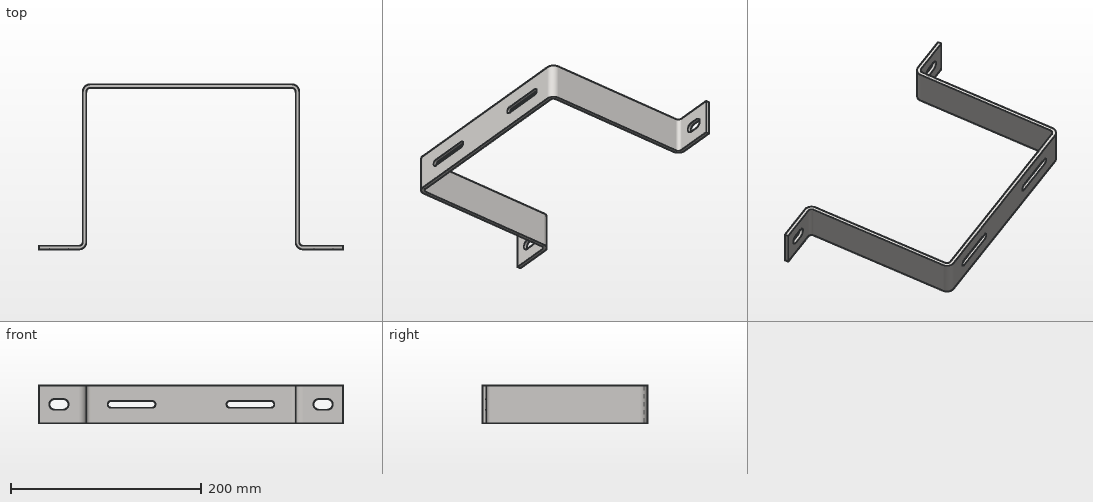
import cadquery as cq

overall_width = 320.0
overall_depth = 174.0
strip_height = 40.0
thickness = 4.0
inside_width = 220.0
inner_bend_radius = 4.0

web_slot_length = 50.0
web_slot_height = 7.0
web_slot_spacing = 125.0

foot_slot_length = 20.0
foot_slot_height = 11.0
foot_slot_edge_distance = 21.0

outer_bend_radius = inner_bend_radius + thickness
half_width = overall_width / 2
leg_inner_x = inside_width / 2
leg_outer_x = leg_inner_x + thickness
foot_slot_spacing = 2 * (half_width - foot_slot_edge_distance)


def block(x_min, x_max, y_min, y_max):
    """Full-height rectangular block between the given limits."""
    return (
        cq.Workplane("XY")
        .box(x_max - x_min, y_max - y_min, strip_height, centered=False)
        .translate((x_min, y_min, 0))
    )


def make_strip():
    """Hat-shaped strip: a back web, two legs and two outward feet, with sharp corners."""
    web = block(-leg_outer_x, leg_outer_x, overall_depth - thickness, overall_depth)
    left_leg = block(-leg_outer_x, -leg_inner_x, 0, overall_depth)
    right_leg = block(leg_inner_x, leg_outer_x, 0, overall_depth)
    left_foot = block(-half_width, -leg_inner_x, 0, thickness)
    right_foot = block(leg_inner_x, half_width, 0, thickness)
    return web.union(left_leg).union(right_leg).union(left_foot).union(right_foot)


def round_bends(strip):
    """Round all four bends with concentric inner and outer radii."""
    web_inner_y = overall_depth - thickness
    for side in (-1, 1):
        bend_edges = (
            (leg_outer_x, overall_depth, outer_bend_radius),
            (leg_inner_x, web_inner_y, inner_bend_radius),
            (leg_inner_x, 0, outer_bend_radius),
            (leg_outer_x, thickness, inner_bend_radius),
        )
        for x, y, radius in bend_edges:
            corner = cq.selectors.NearestToPointSelector((side * x, y, strip_height / 2))
            strip = strip.edges("|Z").edges(corner).fillet(radius)
    return strip


def slot_pair(spacing, length, height, y_start):
    """Two horizontal round-ended cutters passing through one strip thickness along Y."""
    return (
        cq.Workplane("XZ", origin=(0, y_start + thickness, strip_height / 2))
        .pushPoints([(-spacing / 2, 0), (spacing / 2, 0)])
        .slot2D(length, height)
        .extrude(thickness)
    )


bracket = round_bends(make_strip())
web_slots = slot_pair(web_slot_spacing, web_slot_length, web_slot_height, overall_depth - thickness)
foot_slots = slot_pair(foot_slot_spacing, foot_slot_length, foot_slot_height, 0)
result = bracket.cut(web_slots).cut(foot_slots)